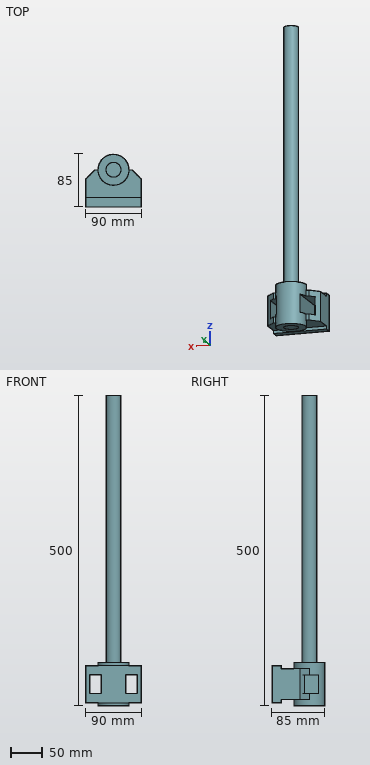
import cadquery as cq

total_height = 500.0
rod_diameter = 24.0

barrel_diameter = 50.0
barrel_height = 70.0
mid_height = barrel_height / 2
housing_width = 90.0
body_height = 50.0
plate_height = 60.0
plate_thickness = 15.0
front_y = -60.0
corner_chamfer = 15.0

window_inner_x = 20.0
window_width = 18.0
window_height = 30.0


def make_block(height, near_y, far_y):
    """Full-width block between two Y positions, centred on the barrel's mid height."""
    return cq.Workplane("XY").box(
        housing_width, far_y - near_y, height, centered=(True, False, True)
    ).translate((0, near_y, mid_height))


def make_body():
    """Block reaching back to the rod axis, with its two rear corners cut off."""
    body = make_block(body_height, front_y, 0)
    return body.faces(">Y").edges("|Z").chamfer(corner_chamfer)


def make_window(side):
    """Cutter for one window; it also flattens the flank of the barrel."""
    centre_x = side * (window_inner_x + window_width / 2)
    length = barrel_diameter / 2 - front_y
    return cq.Workplane("XY").box(
        window_width, length, window_height, centered=(True, False, True)
    ).translate((centre_x, front_y, mid_height))


def make_housing():
    """Barrel, body and front plate in one piece, with two windows and the rod bore."""
    barrel = cq.Workplane("XY").circle(barrel_diameter / 2).extrude(barrel_height)
    plate = make_block(plate_height, front_y, front_y + plate_thickness)
    housing = barrel.union(make_body()).union(plate)
    for side in (-1, 1):
        housing = housing.cut(make_window(side))
    bore = cq.Workplane("XY").circle(rod_diameter / 2).extrude(barrel_height)
    return housing.cut(bore)


def make_rod():
    """Straight round rod filling the bore and standing up out of the housing."""
    return cq.Workplane("XY").circle(rod_diameter / 2).extrude(total_height)


housing = make_housing()
rod = make_rod()

result = cq.Compound.makeCompound([housing.val(), rod.val()])